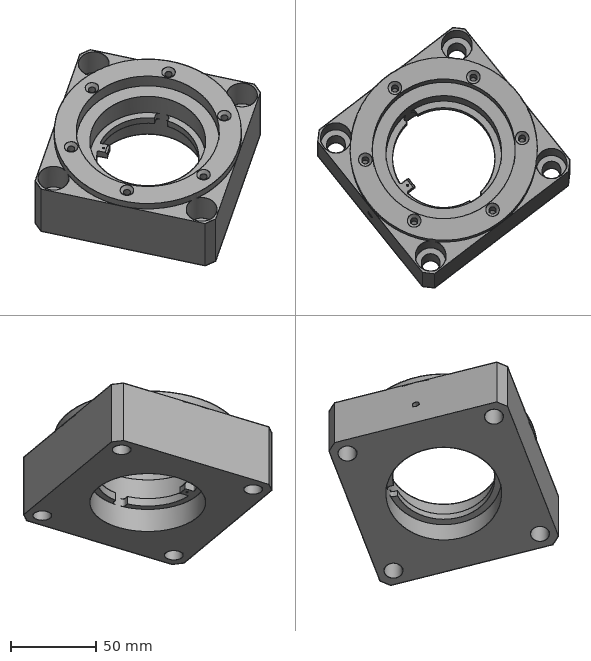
import cadquery as cq
import math

side = 110.0
height = 44.0
flange_height = 5.0
body_height = height - flange_height
corner_chamfer = 5.1
flange_radius = side / 2

recess_radius = 42.0
recess_depth = 9.0
bore_radius = 34.0

lip_radius = 30.0
lip_top = 20.0
lip_thickness = 5.1
lip_bottom = lip_top - lip_thickness
lip_middle = (lip_top + lip_bottom) / 2

keyway_width = 8.0
keyway_corner_fillet = 2.0
tongue_tip_radius = 24.0
tongue_width = 6.0
tongue_bevel_width = 1.2
tongue_root_fillet = 1.0

corner_hole_offset = 45.1
corner_hole_diameter = 11.0
counterbore_diameter = 18.0
counterbore_floor = lip_top

flange_hole_count = 6
flange_hole_circle_radius = 46.5
flange_hole_diameter = 4.2
flange_hole_depth = 11.0
countersink_diameter = 7.9
drill_point_angle = 118.0

passage_height = lip_middle
passage_diameter = 3.3
passage_mouth_diameter = 4.2
passage_mouth_depth = 11.0
tongue_hole_diameter = 1.0
tongue_hole_x = -27.0
passage_depth = side / 2 + tongue_hole_x

overlap = 1.1


def cylinder(radius, bottom, top):
    return cq.Workplane("XY").workplane(offset=bottom).circle(radius).extrude(top - bottom)


def turned(profile):
    """Solid of revolution about Z from (radius, z) points."""
    return cq.Workplane("XZ").polyline(profile).close().revolve(360, (0, 0), (0, 1))


def drilled_hole(diameter, depth):
    """Hole going down from Z = 0, with a conical drill point below its full depth."""
    radius = diameter / 2
    point_length = radius / math.tan(math.radians(drill_point_angle / 2))
    return turned([(0, 0), (radius, 0), (radius, -depth), (0, -depth - point_length)])


def countersink(diameter):
    """90 degree cone going down from Z = 0 to a point."""
    radius = diameter / 2
    return turned([(0, 0), (radius, 0), (0, -radius)])


def make_housing():
    body = cq.Workplane("XY").rect(side, side).extrude(body_height)
    body = body.edges("|Z").chamfer(corner_chamfer)
    return body.union(cylinder(flange_radius, body_height - overlap, height))


def make_bore():
    recess = cylinder(recess_radius, height - recess_depth, height)
    return cylinder(bore_radius, 0, height).union(recess)


def lip_block(length_x, width_y):
    """Rectangular block centred on the bore axis, as thick as the lip."""
    return cq.Workplane("XY").workplane(offset=lip_bottom).rect(length_x, width_y).extrude(lip_thickness)


def make_tongue():
    """Block reaching inward from the bore wall; its tip is an arc about Z with a conical bevel."""
    block = lip_block(bore_radius, tongue_width).translate((-bore_radius / 2, 0, 0))
    tip_space = turned([
        (0, lip_bottom),
        (tongue_tip_radius, lip_bottom),
        (tongue_tip_radius, lip_top - tongue_bevel_width),
        (tongue_tip_radius + tongue_bevel_width, lip_top),
        (0, lip_top),
    ])
    return block.cut(tip_space)


def make_lip():
    """Ring in the bore with two opposite keyways and an inward tongue on the -X side."""
    ring = cylinder(bore_radius + overlap, lip_bottom, lip_top)
    ring = ring.cut(cylinder(lip_radius, lip_bottom, lip_top)).union(make_tongue())

    root_x = -math.sqrt(lip_radius**2 - (tongue_width / 2) ** 2)
    for y_side in (-1, 1):
        root_point = (root_x, y_side * tongue_width / 2, lip_middle)
        root_corner = cq.selectors.NearestToPointSelector(root_point)
        ring = ring.edges("|Z").edges(root_corner).fillet(tongue_root_fillet)

    keyways = lip_block(keyway_width, side).intersect(cylinder(bore_radius, lip_bottom, lip_top))
    return ring.cut(keyways.edges("|Z").fillet(keyway_corner_fillet))


def make_corner_holes():
    centres = [(x * corner_hole_offset, y * corner_hole_offset) for x in (-1, 1) for y in (-1, 1)]
    through = cylinder(corner_hole_diameter / 2, 0, height)
    hole = through.union(cylinder(counterbore_diameter / 2, counterbore_floor, height))
    return [hole.translate((x, y, 0)) for x, y in centres]


def make_flange_holes():
    hole = drilled_hole(flange_hole_diameter, flange_hole_depth).union(countersink(countersink_diameter))
    hole = hole.translate((0, flange_hole_circle_radius, height))
    step = 360 / flange_hole_count
    return [hole.rotate((0, 0, 0), (0, 0, 1), index * step) for index in range(flange_hole_count)]


def make_passage():
    passage = drilled_hole(passage_diameter, passage_depth)
    passage = passage.union(drilled_hole(passage_mouth_diameter, passage_mouth_depth))
    passage = passage.rotate((0, 0, 0), (0, 1, 0), -90)
    return passage.translate((-side / 2, 0, passage_height))


def make_tongue_hole():
    hole = cylinder(tongue_hole_diameter / 2, lip_bottom, lip_top)
    return hole.translate((tongue_hole_x, 0, 0))


result = make_housing().cut(make_bore()).union(make_lip())
for cutter in make_corner_holes() + make_flange_holes():
    result = result.cut(cutter)
result = result.cut(make_passage()).cut(make_tongue_hole())